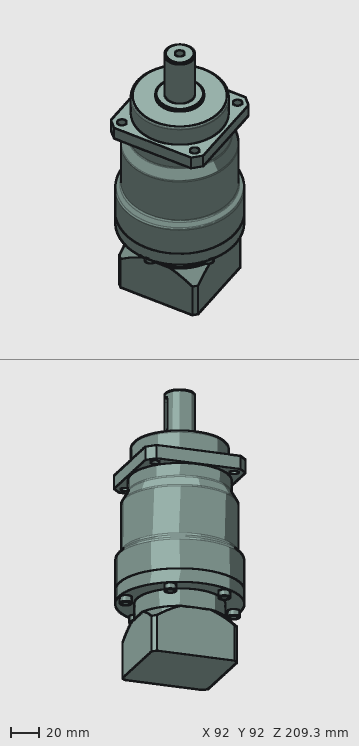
import cadquery as cq
import math

CONE_FOOT_Z = 27.0
SQUARE_TOP_Z = 36.5
RIM_BOTTOM_Z = 50.2
JOINT_Z = 60.5
RIM_TOP_Z = 83.7
FLANGE_BOTTOM_Z = 143.5
FLANGE_TOP_Z = 153.6
PILOT_TOP_Z = 169.5
COLLAR_TOP_Z = 171.5
TOTAL_HEIGHT = 209.3

RIM_RADIUS = 92.0 / 2
BARREL_RADIUS = 84.0 / 2
NECK_RADIUS = 74.0 / 2
PILOT_RADIUS = 70.0 / 2
COLLAR_RADIUS = 35.0 / 2
SHAFT_RADIUS = 22.0 / 2
BARREL_TOP_Z = 125.2
RIM_SLOPE = 45
NECK_SLOPE = 30
SHOULDER_FILLET = 2.5
PILOT_CHAMFER = 1.5
PILOT_FILLET = 1.0
COLLAR_CHAMFER = 0.8
SHAFT_CHAMFER = 1.0

FLANGE_SIDE = 76.2
FLANGE_CORNER_CHAMFER = 6.3
FLANGE_HOLE_DIAMETER = 6.7
FLANGE_HOLE_SPACING = 60.0

CENTRE_HOLE_DIAMETER = 7.0
CENTRE_HOLE_DEPTH = 18.8
DRILL_POINT_ANGLE = 118

KEYWAY_WIDTH = 6.0
KEYWAY_DEPTH = 3.5
KEYWAY_LENGTH = 27.6
KEYWAY_TOP_GAP = 3.5

SQUARE_SIDE = 65.0
CORNER_RADIUS = 44.0
CONE_TOP_RADIUS = 34.3
BOLT_COUNT = 6
BOLT_CIRCLE_RADIUS = 41.0
BOLT_FIRST_ANGLE = 30
BOLT_HEAD_DIAMETER = 8.5
BOLT_HEAD_HEIGHT = 5.0
BOLT_HEAD_CHAMFER = 0.6


def cylinder(radius, bottom, top):
    return cq.Workplane("XY").workplane(offset=bottom).circle(radius).extrude(top - bottom)


def stepped_barrel():
    """Turned rim, barrel and neck, joined by sloped shoulders with rounded ends."""
    rim_shoulder = (RIM_RADIUS - BARREL_RADIUS) / math.tan(math.radians(RIM_SLOPE))
    neck_shoulder = (BARREL_RADIUS - NECK_RADIUS) / math.tan(math.radians(NECK_SLOPE))
    shoulder_edges = [
        (RIM_RADIUS, RIM_TOP_Z),
        (BARREL_RADIUS, RIM_TOP_Z + rim_shoulder),
        (BARREL_RADIUS, BARREL_TOP_Z),
        (NECK_RADIUS, BARREL_TOP_Z + neck_shoulder),
    ]
    profile = [(0, JOINT_Z), (RIM_RADIUS, JOINT_Z)]
    profile += shoulder_edges
    profile += [(NECK_RADIUS, FLANGE_BOTTOM_Z), (0, FLANGE_BOTTOM_Z)]
    barrel = cq.Workplane("XZ").polyline(profile).close().revolve(360, (0, 0, 0), (0, 1, 0))

    reach = 0.2
    for radius, height in shoulder_edges:
        edge_zone = cq.selectors.BoxSelector(
            (-radius - reach, -radius - reach, height - reach),
            (radius + reach, radius + reach, height + reach),
            boundingbox=True,
        )
        barrel = barrel.edges(edge_zone).fillet(SHOULDER_FILLET)
    return barrel


def mounting_flange():
    """Square plate with cut corners and a through hole near each corner."""
    return (
        cq.Workplane("XY")
        .workplane(offset=FLANGE_BOTTOM_Z)
        .rect(FLANGE_SIDE, FLANGE_SIDE)
        .extrude(FLANGE_TOP_Z - FLANGE_BOTTOM_Z)
        .edges("|Z")
        .chamfer(FLANGE_CORNER_CHAMFER)
        .faces(">Z")
        .workplane()
        .rect(FLANGE_HOLE_SPACING, FLANGE_HOLE_SPACING, forConstruction=True)
        .vertices()
        .hole(FLANGE_HOLE_DIAMETER)
    )


def locating_pilot():
    """Centring shoulder with a chamfered rim that blends into its side."""
    pilot = cylinder(PILOT_RADIUS, FLANGE_TOP_Z, PILOT_TOP_Z).faces(">Z").chamfer(PILOT_CHAMFER)
    second_highest = cq.selectors.CenterNthSelector(cq.Vector(0, 0, 1), -2)
    chamfer_foot = pilot.edges("%CIRCLE").edges(second_highest)
    return chamfer_foot.fillet(PILOT_FILLET)


def centre_hole():
    """Drilled hole with a pointed bottom in the shaft end."""
    radius = CENTRE_HOLE_DIAMETER / 2
    wall_bottom = TOTAL_HEIGHT - CENTRE_HOLE_DEPTH
    tip = wall_bottom - radius / math.tan(math.radians(DRILL_POINT_ANGLE / 2))
    return (
        cq.Workplane("XZ")
        .polyline([(0, tip), (radius, wall_bottom), (radius, TOTAL_HEIGHT), (0, TOTAL_HEIGHT)])
        .close()
        .revolve(360, (0, 0, 0), (0, 1, 0))
    )


def keyway():
    """Round-ended keyway cut into the +Y side of the shaft."""
    middle = TOTAL_HEIGHT - KEYWAY_TOP_GAP - KEYWAY_LENGTH / 2
    return (
        cq.Workplane("XZ", origin=(0, SHAFT_RADIUS, middle))
        .slot2D(KEYWAY_LENGTH, KEYWAY_WIDTH, 90)
        .extrude(KEYWAY_DEPTH)
    )


def output_shaft():
    shaft = cylinder(SHAFT_RADIUS, COLLAR_TOP_Z, TOTAL_HEIGHT).faces(">Z").chamfer(SHAFT_CHAMFER)
    return shaft.cut(centre_hole()).cut(keyway())


def make_gearbox():
    pilot = locating_pilot()
    collar = cylinder(COLLAR_RADIUS, PILOT_TOP_Z, COLLAR_TOP_Z).faces(">Z").chamfer(COLLAR_CHAMFER)
    return stepped_barrel().union(mounting_flange()).union(pilot).union(collar).union(output_shaft())


def square_block():
    """Square block whose corners are turned round and coned off towards the neck."""
    block = cq.Workplane("XY").rect(SQUARE_SIDE, SQUARE_SIDE).extrude(SQUARE_TOP_Z)
    turned_envelope = (
        cq.Workplane("XZ")
        .polyline([
            (0, 0),
            (CORNER_RADIUS, 0),
            (CORNER_RADIUS, CONE_FOOT_Z),
            (CONE_TOP_RADIUS, SQUARE_TOP_Z),
            (0, SQUARE_TOP_Z),
        ])
        .close()
        .revolve(360, (0, 0, 0), (0, 1, 0))
    )
    return block.intersect(turned_envelope)


def bolt_heads():
    """Ring of bolt heads under the rim."""
    return (
        cq.Workplane("XY")
        .workplane(offset=RIM_BOTTOM_Z - BOLT_HEAD_HEIGHT)
        .polarArray(BOLT_CIRCLE_RADIUS, BOLT_FIRST_ANGLE, 360, BOLT_COUNT)
        .circle(BOLT_HEAD_DIAMETER / 2)
        .extrude(BOLT_HEAD_HEIGHT)
        .faces("<Z")
        .chamfer(BOLT_HEAD_CHAMFER)
    )


def make_motor_adapter():
    neck = cylinder(SQUARE_SIDE / 2, SQUARE_TOP_Z, RIM_BOTTOM_Z)
    rim = cylinder(RIM_RADIUS, RIM_BOTTOM_Z, JOINT_Z)
    return square_block().union(neck).union(rim).union(bolt_heads())


gearbox = make_gearbox()
motor_adapter = make_motor_adapter()
result = cq.Compound.makeCompound([gearbox.val(), motor_adapter.val()])